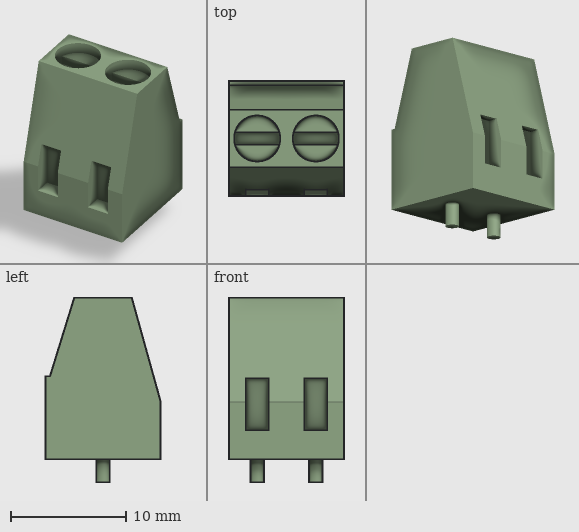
import cadquery as cq

width = 10.0
depth = 10.0
height = 14.0
top_depth = 5.0
front_wall_height = 5.0
rear_wall_height = 7.2
rear_ledge = 0.4

pitch = 5.08
pole_positions = [(-pitch / 2, 0), (pitch / 2, 0)]

well_diameter = 4.0
head_recess = 1.0
slot_floor_depth = 2.0
slot_width = 1.06

entry_width = 2.0
entry_bottom = 2.5
entry_top = 7.0
entry_depth = 1.5

pin_diameter = 1.2
pin_length = 2.0


def make_housing():
    """Tapered side profile in YZ, extruded across the width; the base is at Z = 0."""
    outline = [
        (-depth / 2, 0),
        (depth / 2, 0),
        (depth / 2, rear_wall_height),
        (depth / 2 - rear_ledge, rear_wall_height),
        (top_depth / 2, height),
        (-top_depth / 2, height),
        (-depth / 2, front_wall_height),
    ]
    return cq.Workplane("YZ").polyline(outline).close().extrude(width / 2, both=True)


def make_wells(drop):
    """Cylinders over both poles, reaching down from the top face."""
    return (
        cq.Workplane("XY", origin=(0, 0, height))
        .pushPoints(pole_positions)
        .circle(well_diameter / 2)
        .extrude(-drop)
    )


def make_screw_recesses():
    """Round wells down to the screw heads, plus a driver slot across each head."""
    slot_bars = (
        cq.Workplane("XY", origin=(0, 0, height))
        .pushPoints(pole_positions)
        .rect(well_diameter, slot_width)
        .extrude(-slot_floor_depth)
    )
    slots = make_wells(slot_floor_depth).intersect(slot_bars)
    return make_wells(head_recess).union(slots)


def make_wire_entries():
    """Rectangular pockets sunk into the front face."""
    return (
        cq.Workplane("XY", origin=(0, -depth / 2 + entry_depth / 2, entry_bottom))
        .pushPoints(pole_positions)
        .rect(entry_width, entry_depth)
        .extrude(entry_top - entry_bottom)
    )


def make_pins():
    """Round pins hanging down from the base, one under each pole."""
    return cq.Workplane("XY").pushPoints(pole_positions).circle(pin_diameter / 2).extrude(-pin_length)


result = make_housing().cut(make_screw_recesses()).cut(make_wire_entries()).union(make_pins())